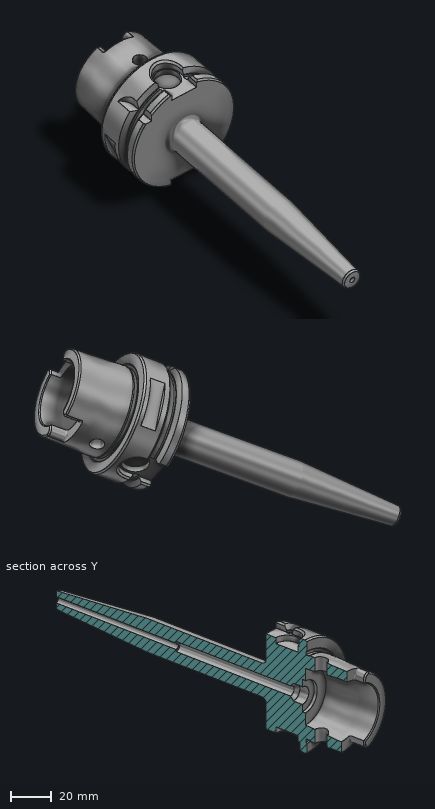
import cadquery as cq
import math


total_length = 192.0
flange_start = 31.7
flange_end = 58.0
nose_cone_start = 134.0

shank_end_radius = 45.9 / 2
shank_base_radius = 47.8 / 2
shank_edge_chamfer = 0.8
relief_width = 2.1
relief_depth = 0.4
relief_entry_length = 1.0
face_relief_radius = 25.5
face_relief_depth = 0.5

flange_radius = 31.5
flange_chamfer_length = 1.2
flange_chamfer_height = 0.5
groove_start = 46.0
groove_end = 53.0
groove_floor_radius = 27.5
groove_slope_depth = 2.9
groove_slope_length = groove_slope_depth * math.tan(math.radians(30))
groove_corner = 0.5

shaft_radius = 19.0 / 2
shaft_root_fillet = 2.7
nose_radius = 5.4
nose_chamfer_length = 1.2
nose_chamfer_height = 0.5

bore_radius = 17.0
bore_mouth_chamfer = 0.5
bore_taper_start = 12.7
bore_floor_radius = 15.5
bore_depth = 32.6
seat_radius = 8.8
seat_depth = 2.0
coolant_radius = 4.8
coolant_depth = 5.8
coolant_throat_radius = 2.7
coolant_cone_length = 2.0
through_bore_start = 115.2
through_bore_radius = 1.5

drive_half_width = 12.0 / 2
drive_flare_radius = 3.3
drive_flare_start = 17.7
drive_floor_fillet = 1.0
drive_mouth_chamfer = 0.8
drive_depth_top = 6.0
drive_depth_bottom = 9.6

cross_hole_radius = 7.5 / 2
cross_hole_x = 22.8

keyway_center_x = 44.5
keyway_top_radius = 7.7
keyway_bottom_radius = 8.0
keyway_edge_chamfer = 1.2
keyway_floor = 26.5
keyway_rim_drop = 2.0
keyway_rim_margin = 0.2
keyway_recess_radius = 7.0
keyway_recess_depth = 3.3

notch_floor_z = 19.8
notch_wall_y = -20.2
notch_arc_center_x = 43.8
notch_arc_radius = 8.0

pocket_start = 35.1
pocket_end = 43.2
pocket_half_angle = 23.7
pocket_tilt = -22.1
pocket_floor = flange_radius * math.cos(math.radians(pocket_half_angle))

reach = 2 * flange_radius


def revolve_about_x(profile):
    return profile.close().revolve(360, (0, 0, 0), (1, 0, 0))


def make_body():
    """Outer form: taper shank, relief, grooved flange, shaft and nose cone."""
    relief_start = flange_start - relief_width
    slope = (shank_base_radius - shank_end_radius) / flange_start
    relief_entry_radius = shank_end_radius + slope * relief_start
    relief_radius = relief_entry_radius - relief_depth
    slope_radius = flange_radius - groove_slope_depth
    left_wall = groove_start + groove_slope_length
    right_wall = groove_end - groove_slope_length
    shoulder_radius = flange_radius - flange_chamfer_height
    root_arc_center_x = flange_end + shaft_root_fillet
    root_radius = shaft_radius + shaft_root_fillet
    root_bend = shaft_root_fillet * math.sqrt(0.5)
    return revolve_about_x(
        cq.Workplane("XY")
        .moveTo(0, 0)
        .lineTo(0, shank_end_radius - shank_edge_chamfer)
        .lineTo(shank_edge_chamfer, shank_end_radius + slope * shank_edge_chamfer)
        .lineTo(relief_start, relief_entry_radius)
        .lineTo(relief_start + relief_entry_length, relief_radius)
        .lineTo(flange_start + face_relief_depth, relief_radius)
        .lineTo(flange_start + face_relief_depth, face_relief_radius - face_relief_depth)
        .lineTo(flange_start, face_relief_radius)
        .lineTo(flange_start, shoulder_radius)
        .lineTo(flange_start + flange_chamfer_length, flange_radius)
        .lineTo(groove_start, flange_radius)
        .lineTo(left_wall, slope_radius)
        .lineTo(left_wall, groove_floor_radius + groove_corner)
        .lineTo(left_wall + groove_corner, groove_floor_radius)
        .lineTo(right_wall - groove_corner, groove_floor_radius)
        .lineTo(right_wall, groove_floor_radius + groove_corner)
        .lineTo(right_wall, slope_radius)
        .lineTo(groove_end, flange_radius)
        .lineTo(flange_end - flange_chamfer_length, flange_radius)
        .lineTo(flange_end, shoulder_radius)
        .lineTo(flange_end, root_radius)
        .threePointArc(
            (root_arc_center_x - root_bend, root_radius - root_bend),
            (root_arc_center_x, shaft_radius),
        )
        .lineTo(nose_cone_start, shaft_radius)
        .lineTo(total_length - nose_chamfer_length, nose_radius)
        .lineTo(total_length, nose_radius - nose_chamfer_height)
        .lineTo(total_length, 0)
    )


def make_bore():
    """Shank bore, seat, coolant hole with its throat, and the bore through the nose."""
    seat_end = bore_depth + seat_depth
    coolant_end = seat_end + coolant_depth
    throat_start = coolant_end + coolant_cone_length
    return revolve_about_x(
        cq.Workplane("XY")
        .moveTo(0, 0)
        .lineTo(0, bore_radius + bore_mouth_chamfer)
        .lineTo(bore_mouth_chamfer, bore_radius)
        .lineTo(bore_taper_start, bore_radius)
        .lineTo(bore_depth, bore_floor_radius)
        .lineTo(bore_depth, seat_radius)
        .lineTo(seat_end, seat_radius)
        .lineTo(seat_end, coolant_radius)
        .lineTo(coolant_end, coolant_radius)
        .lineTo(throat_start, coolant_throat_radius)
        .lineTo(through_bore_start, coolant_throat_radius)
        .lineTo(through_bore_start, through_bore_radius)
        .lineTo(total_length, through_bore_radius)
        .lineTo(total_length, 0)
    )


def drive_slot_outline(start, widening):
    """Slot section at X = start, flaring outward with rounded lips; widening offsets its walls."""
    half_width = drive_half_width + widening
    flare_radius = drive_flare_radius - widening
    lip_half_width = half_width + flare_radius
    lip_height = drive_flare_start + flare_radius
    bend = flare_radius * math.sqrt(0.5)
    bend_half_width = lip_half_width - bend
    bend_height = drive_flare_start + bend
    return (
        cq.Workplane("YZ", origin=(start, 0, 0))
        .moveTo(-half_width, 0)
        .lineTo(-half_width, drive_flare_start)
        .threePointArc((-bend_half_width, bend_height), (-lip_half_width, lip_height))
        .lineTo(-lip_half_width, flange_radius)
        .lineTo(lip_half_width, flange_radius)
        .lineTo(lip_half_width, lip_height)
        .threePointArc((bend_half_width, bend_height), (half_width, drive_flare_start))
        .lineTo(half_width, 0)
        .close()
    )


def make_drive_slot(depth):
    """Top drive slot with a filleted floor and a chamfered mouth."""
    channel = (
        drive_slot_outline(0, 0)
        .extrude(depth)
        .faces(">X").edges("not #Y").fillet(drive_floor_fillet)
    )
    mouth_outer = drive_slot_outline(0, drive_mouth_chamfer).val()
    mouth_inner = drive_slot_outline(drive_mouth_chamfer, 0).val()
    mouth = cq.Workplane(cq.Solid.makeLoft([mouth_outer, mouth_inner], True))
    return channel.union(mouth)


def make_keyway(radius):
    """Round-ended top slot, open through the +X face of the flange, with a round recess in its floor."""
    slot = (
        cq.Workplane("XY", origin=(keyway_center_x, 0, keyway_floor))
        .moveTo(0, radius)
        .threePointArc((-radius, 0), (0, -radius))
        .lineTo(flange_end - keyway_center_x, -radius)
        .lineTo(flange_end - keyway_center_x, radius)
        .close()
        .extrude(flange_radius - keyway_floor)
    )
    recess = (
        cq.Workplane("XY", origin=(keyway_center_x, 0, keyway_floor))
        .circle(keyway_recess_radius)
        .extrude(-keyway_recess_depth)
    )
    return slot.union(recess)


def keyway_rim(radius, side):
    """Select the outer rim edges of a keyway; side is +1 (top) or -1 (bottom)."""
    lowest_rim = flange_radius - keyway_rim_drop
    highest_rim = flange_radius + keyway_rim_margin
    rim_half_width = radius + keyway_rim_margin
    return cq.selectors.BoxSelector(
        (flange_start, -rim_half_width, side * lowest_rim),
        (flange_end - flange_chamfer_length, rim_half_width, side * highest_rim),
    )


def make_notch():
    """Stepped notch with a vertical wall and a rounded run-out towards the shank."""
    arc_center_y = notch_wall_y - notch_arc_radius
    bend = notch_arc_radius * math.sqrt(0.5)
    return (
        cq.Workplane("XY", origin=(0, 0, notch_floor_z))
        .moveTo(flange_end, notch_wall_y)
        .lineTo(notch_arc_center_x, notch_wall_y)
        .threePointArc(
            (notch_arc_center_x - bend, arc_center_y + bend),
            (notch_arc_center_x - notch_arc_radius, arc_center_y),
        )
        .lineTo(notch_arc_center_x - notch_arc_radius, -flange_radius)
        .lineTo(flange_end, -flange_radius)
        .close()
        .extrude(flange_radius)
    )


def make_side_pocket():
    depth = flange_radius - pocket_floor
    return (
        cq.Workplane("XY")
        .box(pocket_end - pocket_start, 2 * depth, reach)
        .translate(((pocket_start + pocket_end) / 2, -flange_radius, 0))
        .rotate((0, 0, 0), (1, 0, 0), -pocket_tilt)
    )


def make_cross_hole():
    return (
        cq.Workplane("XY", origin=(cross_hole_x, 0, -flange_radius))
        .circle(cross_hole_radius)
        .extrude(reach)
    )


flange_with_keyways = (
    make_body()
    .cut(make_keyway(keyway_top_radius))
    .cut(make_keyway(keyway_bottom_radius).mirror("XY"))
)
for rim in (keyway_rim(keyway_top_radius, 1), keyway_rim(keyway_bottom_radius, -1)):
    flange_with_keyways = flange_with_keyways.edges(rim).chamfer(keyway_edge_chamfer)

result = (
    flange_with_keyways
    .cut(make_bore())
    .cut(make_drive_slot(drive_depth_top))
    .cut(make_drive_slot(drive_depth_bottom).mirror("XY"))
    .cut(make_cross_hole())
    .cut(make_notch())
    .cut(make_side_pocket())
)